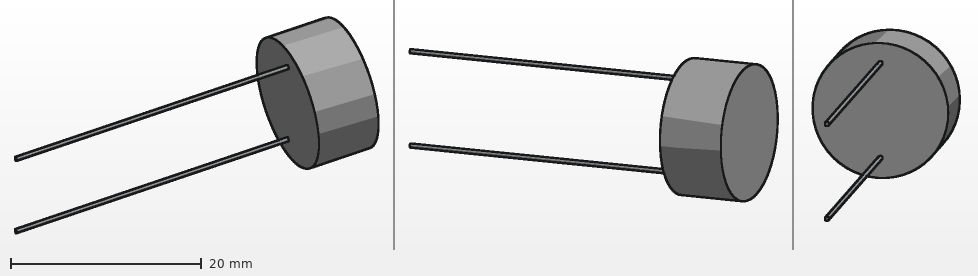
import cadquery as cq

total_length = 39.05
housing_diameter = 14.5
housing_depth = 7.03
lead_diameter = 0.45
lead_spacing = 10.15

lead_length = total_length - housing_depth


def cylinder_along_y(diameter, length, center_z=0.0):
    """A cylinder that starts on the Y = 0 plane; a negative length runs toward +Y."""
    return cq.Workplane("XZ").center(0, center_z).circle(diameter / 2).extrude(length)


housing = cylinder_along_y(housing_diameter, -housing_depth)

leads = []
for side in (1, -1):
    lead = cylinder_along_y(lead_diameter, lead_length, side * lead_spacing / 2)
    leads.append(lead.val())

result = cq.Compound.makeCompound([housing.val(), *leads])